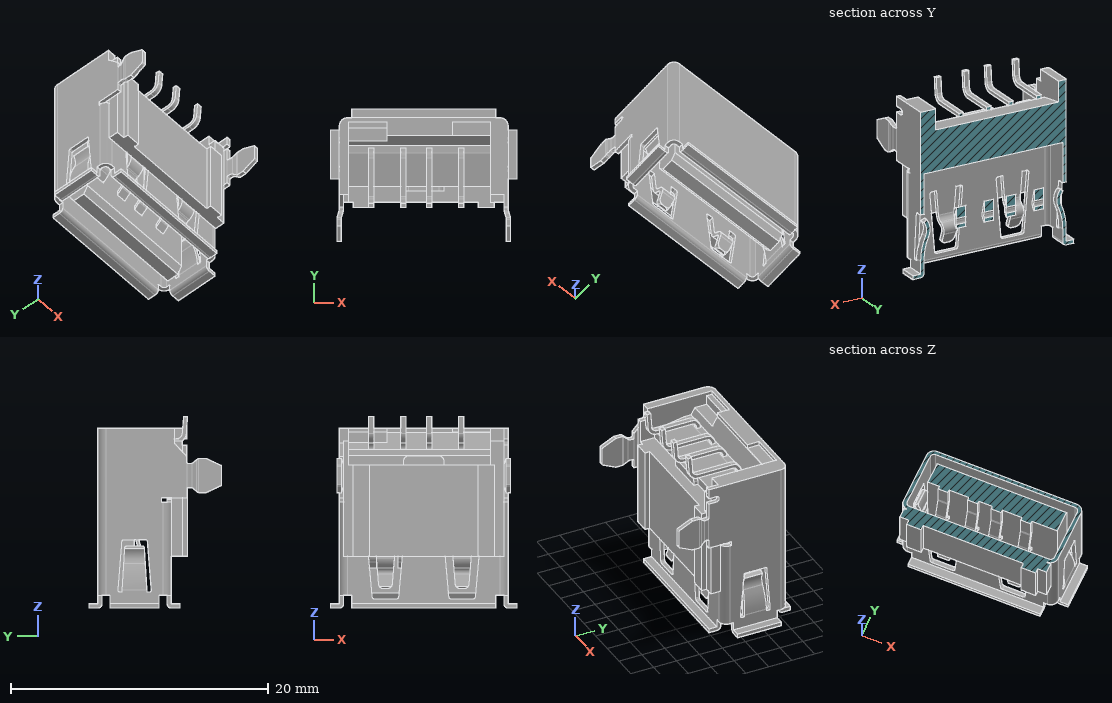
import cadquery as cq
import math


SHELL_X = 13.14
SHELL_Y = 5.74
SHEET = 0.35
SHELL_TOP = 14.0
CORNER_RADIUS = 0.65
NOTCH_TOP = 1.0
FLANGE_REACH = 0.68
FRONT_FLANGE_WIDTH = 11.2
SIDE_FLANGE_WIDTH = 3.82

HALF_X = SHELL_X / 2
HALF_Y = SHELL_Y / 2
INNER_X = HALF_X - SHEET
INNER_Y = HALF_Y - SHEET

CHEEK_BOTTOM = 8.58
CHEEK_FRONT = -4.07
SLIT_BOTTOM = 8.24
SLIT_BACK = -2.1
FRONT_WALL_TOP = 8.47
BODY_FRONT = -3.09
BEVEL_TOP = 12.84
BEVEL_BOTTOM = 11.78
CHEEK_NOTCH_BOTTOM = 12.67
CHEEK_NOTCH_TOP = 13.17
CHEEK_NOTCH_DEPTH = 0.9

LOCK_CENTER_Z = 10.31
LOCK_NECK_HALF = 0.95
LOCK_HEAD_HALF = 1.34
LOCK_TIP_HALF = 0.77
OVERALL_Y = 10.32
LOCK_TIP_Y = HALF_Y + FLANGE_REACH - OVERALL_Y
LOCK_HEAD_BACK_Y = -4.95
LOCK_HEAD_FRONT_Y = -5.57
LOCK_NECK_Y = -4.48
LOCK_JOG = 0.18
LOCK_JOG_START_Y = -4.3
LOCK_JOG_END_Y = -4.915
LOCK_BEND_RADII = (1.55, 0.45)
LOCK_ROOT_FILLET = 0.1
LOCK_NECK_FILLET = 0.25
LOCK_TIP_FILLET = 0.12

FRONT_SPRING_X = 2.98
FRONT_WINDOW_BOTTOM = 0.72
FRONT_WINDOW_TOP = 6.0
FRONT_WINDOW_BOTTOM_HALF = 1.02
FRONT_WINDOW_TOP_HALF = 1.49
FRONT_WINDOW_FILLET = 0.2
FRONT_SPRING_KNEE = 3.5
FRONT_SPRING_VALLEY = 3.0
FRONT_SPRING_TIP = 1.6
FRONT_SPRING_TIP_OFFSET = 0.15
FRONT_SPRING_TIP_TILT = math.radians(27)
FRONT_SPRING_RADII = (0.7, 0.5)
FRONT_SPRING_TIP_HALF = 0.51
FRONT_SPRING_TOP_HALF = 0.9
FRONT_SPRING_TIP_FILLET = 0.4
SIDE_WINDOW_BOTTOM = 1.27
SIDE_WINDOW_TOP = 5.31
SIDE_WINDOW_BOTTOM_HALF = 1.3
SIDE_WINDOW_TOP_HALF = 0.98
SIDE_WINDOW_FILLET = 0.12
SIDE_SPRING_KNEE = 2.47
SIDE_SPRING_VALLEY = 4.12
SIDE_SPRING_TIP = 4.74
SIDE_SPRING_LEAN = math.radians(24)
SIDE_SPRING_TIP_TILT = math.radians(38)
SIDE_SPRING_VALLEY_RADIUS = 1.27
SIDE_SPRING_ROOT_HALF = 1.0
SIDE_SPRING_TIP_HALF = 0.76
SIDE_SPRING_TIP_FILLET = 0.2

BASE_BOTTOM = 8.7
BLOCK_HALF_X = 6.23
BLOCK_FRONT = -3.72
BLOCK_BOTTOM = 4.03
POST_TOP = 13.0
RIB_INNER_X = 4.23
RIB_OUTER_X = 5.48
RIB_FRONT = -4.13
SHELF_Z = 11.14
CAVITY_LEFT = -5.83
CAVITY_RIGHT = 5.19
CAVITY_BACK = 1.5
RAMP_TOP_Z = 13.64
RAMP_BOTTOM_Y = 0.69
FLOOR_Z = 12.32
FLOOR_EDGE_Y = 0.14
FLOOR_FRONT_Y = -2.48
FLOOR_FRONT_Z = 11.86
POCKET_BACK = 2.58
POCKET_Z = 13.68
RIGHT_POCKET_X = 2.23
LEFT_POCKET_X = -2.87
LEFT_POCKET_STEP_Y = 2.07
LEFT_POCKET_Z = 12.89
LUG_WIDTH = 3.14
LUG_THICKNESS = 0.35
LUG_TOP = 11.84
LUG_RADIUS = 0.4
TONGUE_HALF_X = 5.5
TONGUE_FRONT = 0.02
TONGUE_BACK = 1.86
TONGUE_TIP = 0.5
TONGUE_CHAMFER_HEIGHT = 0.69
TONGUE_CHAMFER_DEPTH = 0.4

CONTACT_X = (-4.09, -1.59, 0.41, 2.91)
PIN_WIDTH = 0.43
PIN_THICKNESS = 0.32
PIN_TOP = 14.91
PIN_TOP_Y = -3.97
PIN_TILT = math.radians(4.5)
PIN_LEG_Z = 13.01
PIN_RISER_Y = 0.37
PIN_RISER_BOTTOM = 11.0
PIN_BEND_RADIUS = 0.62
BLADE_WIDTH = 0.86
BLADE_THICKNESS = 0.25
BLADE_PATH = ((0.15, 3.16), (-0.6, 3.9), (-0.1, 5.75), (-0.1, 9.2))
BLADE_BEND_RADIUS = 0.5

TOUCHING = 1e-6


def box(x0, x1, y0, y1, z0, z1):
    """Axis-aligned block given by its limits."""
    return cq.Workplane("XY").box(x1 - x0, y1 - y0, z1 - z0, centered=False).translate((x0, y0, z0))


def mirrored_pair(body):
    """A body together with its mirror image across X = 0."""
    return body.union(body.mirror("YZ"))


def xy(vector):
    """First two coordinates of a vector."""
    return vector.x, vector.y


def trace(outline, current, arcs):
    """Continue an outline through a chain of arcs, joined by lines where they do not touch."""
    for start, middle, end in arcs:
        if (start - current).Length > TOUCHING:
            outline = outline.lineTo(*xy(start))
        outline = outline.threePointArc(xy(middle), xy(end))
        current = end
    return outline


def bent_strip(plane, path, radii, thickness, width):
    """Strip of constant thickness along a polyline with rounded bends, centred on the plane."""
    left = []
    right = []
    half = thickness / 2
    points = [cq.Vector(u, v) for u, v in path]
    across = cq.Vector(0, 0, 1)
    directions = [(b - a).normalized() for a, b in zip(points, points[1:])]
    normals = [across.cross(d) for d in directions]
    for corner, d0, d1, n0, n1, radius in zip(
        points[1:], directions, directions[1:], normals, normals[1:], radii
    ):
        turn = math.atan2(d0.cross(d1).z, d0.dot(d1))
        tangent = radius * math.tan(abs(turn) / 2)
        sign = math.copysign(1, turn)
        start = corner - d0 * tangent
        end = corner + d1 * tangent
        center = start + n0 * (sign * radius)
        outward = (corner - center).normalized()
        for side, chain in ((1, left), (-1, right)):
            offset = side * half
            middle = center + outward * (radius - sign * offset)
            chain.append((start + n0 * offset, middle, end + n1 * offset))

    offsets = [normal * half for normal in (normals[0], normals[-1])]
    returning = [(end, middle, start) for start, middle, end in reversed(right)]
    corners = (points[-1] + offsets[1], points[-1] - offsets[1], points[0] - offsets[0])
    outline = cq.Workplane(plane).moveTo(*xy(points[0] + offsets[0]))
    outline = trace(outline, points[0] + offsets[0], left)
    outline = outline.lineTo(*xy(corners[0])).lineTo(*xy(corners[1]))
    outline = trace(outline, corners[1], returning)
    return outline.lineTo(*xy(corners[2])).close().extrude(width / 2, both=True)


def trapezoid(plane, bottom, top, bottom_half, top_half, depth):
    """Trapezoidal prism standing on Z, centred on the plane and extruded to both sides."""
    corners = [(-bottom_half, bottom), (bottom_half, bottom), (top_half, top), (-top_half, top)]
    return cq.Workplane(plane).polyline(corners).close().extrude(depth, both=True)


def flange(wall, width):
    """Mating flange bent outward from a wall whose outer face is at Y = -wall."""
    inside = SHEET - wall
    profile = (
        cq.Workplane("YZ")
        .moveTo(inside, NOTCH_TOP)
        .lineTo(inside, SHEET)
        .radiusArc((inside - SHEET, 0), SHEET)
        .lineTo(-wall - FLANGE_REACH, 0)
        .lineTo(-wall - FLANGE_REACH, SHEET)
        .lineTo(-wall, SHEET)
        .lineTo(-wall, NOTCH_TOP)
        .close()
    )
    return profile.extrude(width / 2, both=True)


def shell_tube():
    """Rounded sheet tube, cut back at the front to clear the insulator and the cheeks."""
    outer = box(-HALF_X, HALF_X, -HALF_Y, HALF_Y, NOTCH_TOP, SHELL_TOP)
    inner = box(-INNER_X, INNER_X, -INNER_Y, INNER_Y, NOTCH_TOP, SHELL_TOP)
    tube = outer.edges("|Z").fillet(CORNER_RADIUS).cut(inner.edges("|Z").fillet(CORNER_RADIUS - SHEET))
    tube = tube.cut(box(-HALF_X, HALF_X, -HALF_Y, SLIT_BACK, FRONT_WALL_TOP, SHELL_TOP))
    corner_x = HALF_X - CORNER_RADIUS
    corner = box(corner_x, HALF_X, -HALF_Y, SLIT_BACK, SLIT_BOTTOM, SHELL_TOP)
    return tube.cut(mirrored_pair(corner))


def flanges():
    """The four mating flanges, one on each wall."""
    front = flange(HALF_Y, FRONT_FLANGE_WIDTH)
    side = flange(HALF_X, SIDE_FLANGE_WIDTH).rotate((0, 0, 0), (0, 0, 1), -90)
    return front.union(front.mirror("XZ")).union(mirrored_pair(side))


def cheeks():
    """Flat side walls ahead of the shell: the left one bevelled, the right one notched."""
    right = box(INNER_X, HALF_X, CHEEK_FRONT, SLIT_BACK, CHEEK_BOTTOM, SHELL_TOP)
    left = right.mirror("YZ")
    bevel = (
        cq.Workplane("YZ", origin=(-HALF_X, 0, 0))
        .polyline([
            (BODY_FRONT, SHELL_TOP),
            (BODY_FRONT, BEVEL_TOP),
            (CHEEK_FRONT, BEVEL_BOTTOM),
            (CHEEK_FRONT, SHELL_TOP),
        ])
        .close()
        .extrude(SHEET)
    )
    notch_radius = (CHEEK_NOTCH_TOP - CHEEK_NOTCH_BOTTOM) / 2
    notch_end = CHEEK_FRONT + CHEEK_NOTCH_DEPTH - notch_radius
    notch_middle = CHEEK_NOTCH_BOTTOM + notch_radius
    notch = (
        cq.Workplane("YZ", origin=(INNER_X, 0, 0))
        .moveTo(CHEEK_FRONT, CHEEK_NOTCH_BOTTOM)
        .lineTo(notch_end, CHEEK_NOTCH_BOTTOM)
        .threePointArc((notch_end + notch_radius, notch_middle), (notch_end, CHEEK_NOTCH_TOP))
        .lineTo(CHEEK_FRONT, CHEEK_NOTCH_TOP)
        .close()
        .extrude(SHEET)
    )
    return left.cut(bevel).union(right.cut(notch))


def round_lock(outline, y, radius):
    """Round the pair of lock corners at one Y position."""
    low = (0, y - LOCK_ROOT_FILLET, -SHELL_TOP)
    high = (SHELL_X, y + LOCK_ROOT_FILLET, SHELL_TOP)
    return outline.edges(cq.selectors.BoxSelector(low, high)).edges("|X").fillet(radius)


def board_locks():
    """Arrow-headed tabs jogged outward from the front edges of the cheeks."""
    wall = HALF_X - SHEET / 2
    path = [
        (wall, CHEEK_FRONT),
        (wall, LOCK_JOG_START_Y),
        (wall + LOCK_JOG, LOCK_JOG_END_Y),
        (wall + LOCK_JOG, LOCK_TIP_Y),
    ]
    strip = bent_strip("XY", path, LOCK_BEND_RADII, SHEET, 2 * LOCK_HEAD_HALF)
    root_y = CHEEK_FRONT - LOCK_ROOT_FILLET
    root_half = LOCK_NECK_HALF + LOCK_ROOT_FILLET
    upper = [
        (root_y, LOCK_NECK_HALF),
        (LOCK_NECK_Y, LOCK_NECK_HALF),
        (LOCK_HEAD_BACK_Y, LOCK_HEAD_HALF),
        (LOCK_HEAD_FRONT_Y, LOCK_HEAD_HALF),
        (LOCK_TIP_Y, LOCK_TIP_HALF),
    ]
    lower = [(y, -z) for y, z in reversed(upper)]
    outline = (
        cq.Workplane("YZ")
        .polyline(upper + lower)
        .radiusArc((CHEEK_FRONT, -root_half), LOCK_ROOT_FILLET)
        .lineTo(CHEEK_FRONT, root_half)
        .radiusArc(upper[0], LOCK_ROOT_FILLET)
        .close()
        .extrude(SHELL_X)
    )
    outline = round_lock(outline, LOCK_NECK_Y, LOCK_NECK_FILLET)
    outline = round_lock(outline, LOCK_HEAD_BACK_Y, LOCK_NECK_FILLET)
    outline = round_lock(outline, LOCK_TIP_Y, LOCK_TIP_FILLET)
    lock = strip.intersect(outline).translate((0, 0, LOCK_CENTER_Z))
    return mirrored_pair(lock)


def front_windows():
    """Openings around the two front fingers."""
    window = trapezoid(
        "XZ", FRONT_WINDOW_BOTTOM, FRONT_WINDOW_TOP, FRONT_WINDOW_BOTTOM_HALF, FRONT_WINDOW_TOP_HALF, SHEET
    )
    window = window.edges("|Y").fillet(FRONT_WINDOW_FILLET)
    return mirrored_pair(window.translate((FRONT_SPRING_X, -HALF_Y, 0)))


def front_springs():
    """Fingers hanging from the window top, bowed into the opening."""
    wall = -HALF_Y + SHEET / 2
    rise = FRONT_SPRING_VALLEY - FRONT_SPRING_TIP
    tip_y = wall + FRONT_SPRING_TIP_OFFSET
    path = [
        (wall, FRONT_WINDOW_TOP + SHEET),
        (wall, FRONT_SPRING_KNEE),
        (tip_y + rise * math.tan(FRONT_SPRING_TIP_TILT), FRONT_SPRING_VALLEY),
        (tip_y, FRONT_SPRING_TIP),
    ]
    strip = bent_strip("YZ", path, FRONT_SPRING_RADII, SHEET, SHELL_X / 2)
    lowest = FRONT_SPRING_TIP - SHEET / 2 * math.sin(FRONT_SPRING_TIP_TILT)
    taper = trapezoid(
        "XZ", lowest, FRONT_WINDOW_TOP + SHEET, FRONT_SPRING_TIP_HALF, FRONT_SPRING_TOP_HALF, SHELL_Y
    )
    taper = taper.edges("|Y and <Z").fillet(FRONT_SPRING_TIP_FILLET)
    return mirrored_pair(strip.intersect(taper).translate((FRONT_SPRING_X, 0, 0)))


def side_windows():
    """Openings around the two side fingers."""
    window = trapezoid(
        "YZ", SIDE_WINDOW_BOTTOM, SIDE_WINDOW_TOP, SIDE_WINDOW_BOTTOM_HALF, SIDE_WINDOW_TOP_HALF, SHEET
    )
    window = window.edges("|X").fillet(SIDE_WINDOW_FILLET)
    return mirrored_pair(window.translate((HALF_X, 0, 0)))


def side_springs():
    """Fingers rising from the window bottom, bowed into the opening."""
    wall = HALF_X - SHEET / 2
    valley_x = wall - (SIDE_SPRING_VALLEY - SIDE_SPRING_KNEE) * math.tan(SIDE_SPRING_LEAN)
    tip_rise = SIDE_SPRING_TIP - SIDE_SPRING_VALLEY
    path = [
        (wall, SIDE_WINDOW_BOTTOM - SHEET),
        (wall, SIDE_SPRING_KNEE),
        (valley_x, SIDE_SPRING_VALLEY),
        (valley_x + tip_rise * math.tan(SIDE_SPRING_TIP_TILT), SIDE_SPRING_TIP),
    ]
    ramp = (SIDE_SPRING_VALLEY - SIDE_SPRING_KNEE) / math.cos(SIDE_SPRING_LEAN)
    half_turn = (SIDE_SPRING_LEAN + SIDE_SPRING_TIP_TILT) / 2
    knee_tangent = ramp - SIDE_SPRING_VALLEY_RADIUS * math.tan(half_turn)
    knee_radius = knee_tangent / math.tan(SIDE_SPRING_LEAN / 2)
    strip = bent_strip("XZ", path, (knee_radius, SIDE_SPRING_VALLEY_RADIUS), SHEET, SHELL_Y)
    highest = SIDE_SPRING_TIP + SHEET / 2 * math.sin(SIDE_SPRING_TIP_TILT)
    taper = trapezoid(
        "YZ", SIDE_WINDOW_BOTTOM - SHEET, highest, SIDE_SPRING_ROOT_HALF, SIDE_SPRING_TIP_HALF, SHELL_X
    )
    taper = taper.edges("|X and >Z").fillet(SIDE_SPRING_TIP_FILLET)
    return mirrored_pair(strip.intersect(taper))


def cavity():
    """Open recess above the insulator floor that the contact legs cross."""
    profile = [
        (CAVITY_BACK, SHELL_TOP),
        (CAVITY_BACK, RAMP_TOP_Z),
        (RAMP_BOTTOM_Y, FLOOR_Z),
        (FLOOR_EDGE_Y, FLOOR_Z),
        (FLOOR_FRONT_Y, FLOOR_FRONT_Z),
        (FLOOR_FRONT_Y, SHELF_Z),
        (BLOCK_FRONT, SHELF_Z),
        (BLOCK_FRONT, SHELL_TOP),
    ]
    start = cq.Workplane("YZ", origin=(CAVITY_LEFT, 0, 0))
    recess = start.polyline(profile).close().extrude(CAVITY_RIGHT - CAVITY_LEFT)
    right = box(RIGHT_POCKET_X, CAVITY_RIGHT, CAVITY_BACK, POCKET_BACK, POCKET_Z, SHELL_TOP)
    left = box(CAVITY_LEFT, LEFT_POCKET_X, CAVITY_BACK, POCKET_BACK, POCKET_Z, SHELL_TOP)
    left_deep = box(
        CAVITY_LEFT, LEFT_POCKET_X, RAMP_BOTTOM_Y, LEFT_POCKET_STEP_Y, LEFT_POCKET_Z, SHELL_TOP
    )
    return recess.union(right).union(left).union(left_deep)


def tongue():
    """Contact carrier inside the opening, chamfered at its tip."""
    shoulder = TONGUE_TIP + TONGUE_CHAMFER_HEIGHT
    profile = [
        (TONGUE_FRONT, BASE_BOTTOM),
        (TONGUE_FRONT, shoulder),
        (TONGUE_FRONT + TONGUE_CHAMFER_DEPTH, TONGUE_TIP),
        (TONGUE_BACK - TONGUE_CHAMFER_DEPTH, TONGUE_TIP),
        (TONGUE_BACK, shoulder),
        (TONGUE_BACK, BASE_BOTTOM),
    ]
    return cq.Workplane("YZ").polyline(profile).close().extrude(TONGUE_HALF_X, both=True)


def insulator():
    """Base, front block with ribs and lug, and tongue."""
    base = box(-INNER_X, INNER_X, BODY_FRONT, INNER_Y, BASE_BOTTOM, SHELL_TOP)
    base = base.edges("|Z and >Y").fillet(CORNER_RADIUS - SHEET)
    block = box(-BLOCK_HALF_X, BLOCK_HALF_X, BLOCK_FRONT, -HALF_Y, BLOCK_BOTTOM, POST_TOP)
    rib = box(RIB_INNER_X, RIB_OUTER_X, RIB_FRONT, BLOCK_FRONT, BLOCK_BOTTOM, SHELF_Z)
    lug = box(
        -LUG_WIDTH / 2, LUG_WIDTH / 2, FLOOR_FRONT_Y - LUG_THICKNESS, FLOOR_FRONT_Y, SHELF_Z, LUG_TOP
    )
    lug = lug.edges("|Y and >Z").fillet(LUG_RADIUS)
    body = base.union(block).cut(cavity())
    return body.union(mirrored_pair(rib)).union(lug).union(tongue())


def contact():
    """Solder pin above the floor and springy blade ahead of the tongue, at X = 0."""
    pin_foot_y = PIN_TOP_Y + (PIN_TOP - PIN_LEG_Z) * math.tan(PIN_TILT)
    path = [
        (PIN_RISER_Y, PIN_RISER_BOTTOM),
        (PIN_RISER_Y, PIN_LEG_Z),
        (pin_foot_y, PIN_LEG_Z),
        (PIN_TOP_Y, PIN_TOP - PIN_THICKNESS / 2 * math.sin(PIN_TILT)),
    ]
    pin = bent_strip("YZ", path, (PIN_BEND_RADIUS, PIN_BEND_RADIUS), PIN_THICKNESS, PIN_WIDTH)
    radii = (BLADE_BEND_RADIUS, BLADE_BEND_RADIUS)
    blade = bent_strip("YZ", BLADE_PATH, radii, BLADE_THICKNESS, BLADE_WIDTH)
    return pin.union(blade)


def shell():
    """Complete sheet-metal shell."""
    body = shell_tube().union(flanges()).union(cheeks()).union(board_locks())
    body = body.cut(front_windows()).cut(side_windows())
    return body.union(front_springs()).union(side_springs())


result = shell().union(insulator())
for x in CONTACT_X:
    result = result.union(contact().translate((x, 0, 0)))